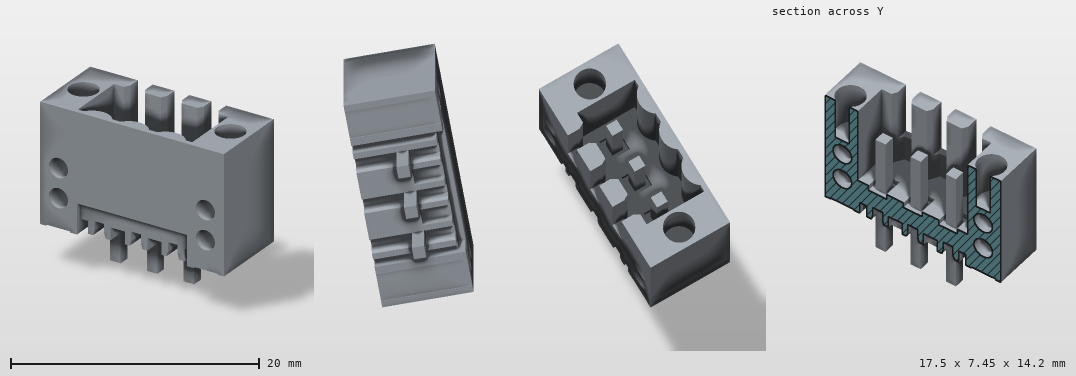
import cadquery as cq


pin_count = 3
pin_pitch = 3.5
pin_size = 1.0
pin_tail = 3.25
pin_top_below_rim = 2.6

housing_length = 17.5
housing_width = 7.45
housing_height = 11.0
front_to_pins = 3.5
front_y = -front_to_pins
back_y = front_y + housing_width

cavity_length = 10.9
cavity_depth = 7.5
front_wall = 0.45
back_wall = 1.6
cavity_front_y = front_y + front_wall
cavity_back_y = back_y - back_wall
floor_z = housing_height - cavity_depth

rib_width = 2.7
rib_rise = 0.7

groove_mouth = 2.0
groove_root = 0.8
groove_depth = 1.0
slot_width = 1.4
slot_depth = 5.0

pin_recess_size = 1.8
pin_recess_depth = 0.5

end_block_length = 3.5
flange_hole_diameter = 2.6
flange_hole_depth = 4.0
cross_hole_diameter = 1.8
cross_hole_heights = (2.8, 5.5)

relief_width = 2.3
relief_inset = 0.55
relief_depth = 0.1

step_length = housing_length - 2 * end_block_length
step_height = 2.8
step_depth = 0.6
step_y = front_y + step_depth

gap_width = 0.65
foot_height = 1.15
foot_pocket_width = 1.35
foot_pocket_depth = front_to_pins - pin_size / 2 - step_depth
channel_width = 0.93
channel_height = 1.3
channel_mouth = 1.2
channel_flare_height = 0.45

pin_xs = [pin_pitch * (i - (pin_count - 1) / 2) for i in range(pin_count)]
between_pin_xs = [(left + right) / 2 for left, right in zip(pin_xs, pin_xs[1:])]
end_block_x = (housing_length - end_block_length) / 2
end_block_xs = (-end_block_x, end_block_x)
relief_x = (housing_length - relief_width) / 2 - relief_inset
gap_x = (step_length - gap_width) / 2


def box(x_center, length, y_min, y_max, z_min, z_max):
    """Block centred on x_center in X, between the given limits in Y and Z."""
    block = cq.Workplane("XY").box(length, y_max - y_min, z_max - z_min, centered=(True, False, False))
    return block.translate((x_center, y_min, z_min))


def coding_rib(x):
    """Rounded rib standing on the front wall over the full cavity depth."""
    half = rib_width / 2
    return (
        cq.Workplane("XY", origin=(x, cavity_front_y, floor_z))
        .moveTo(-half, 0)
        .threePointArc((0, rib_rise), (half, 0))
        .close()
        .extrude(cavity_depth)
    )


def back_groove(x):
    """Tapered groove in the back wall, from the cavity floor to the rim."""
    return (
        cq.Workplane("XY", origin=(x, cavity_back_y, floor_z))
        .polyline([
            (-groove_mouth / 2, 0),
            (groove_mouth / 2, 0),
            (groove_root / 2, groove_depth),
            (-groove_root / 2, groove_depth),
        ])
        .close()
        .extrude(cavity_depth)
    )


def back_slot(x):
    """Slot through the back wall, open at the rim."""
    return box(x, slot_width, cavity_back_y, back_y, housing_height - slot_depth, housing_height)


def pin_recess(x):
    """Square recess in the cavity floor, centred on a pin."""
    half = pin_recess_size / 2
    return box(x, pin_recess_size, -half, half, floor_z - pin_recess_depth, floor_z)


def pin_channel(x):
    """Channel across the underside at a pin, flared at its mouth."""
    half = channel_width / 2
    half_mouth = channel_mouth / 2
    return (
        cq.Workplane("XZ", origin=(x, back_y, 0))
        .polyline([
            (-half_mouth, 0),
            (-half, channel_flare_height),
            (-half, channel_height),
            (half, channel_height),
            (half, channel_flare_height),
            (half_mouth, 0),
        ])
        .close()
        .extrude(housing_width)
    )


def flange_hole(x):
    """Blind screw hole in the top of an end block."""
    return (
        cq.Workplane("XY", origin=(x, front_y + housing_width / 2, housing_height - flange_hole_depth))
        .circle(flange_hole_diameter / 2)
        .extrude(flange_hole_depth)
    )


def cross_hole(x, z):
    """Hole through an end block from front to back."""
    return (
        cq.Workplane("XZ", origin=(x, back_y, z))
        .circle(cross_hole_diameter / 2)
        .extrude(housing_width)
    )


def make_pin(x):
    """Square contact pin, from its tail up into the cavity."""
    half = pin_size / 2
    return box(x, pin_size, -half, half, -pin_tail, housing_height - pin_top_below_rim)


def make_housing():
    """Housing with its cavity, underside cut-outs, end-block holes and a hole for every pin."""
    body = box(0, housing_length, front_y, back_y, 0, housing_height)
    cavity = box(0, cavity_length, cavity_front_y, cavity_back_y, floor_z, housing_height)
    for x in pin_xs:
        cavity = cavity.cut(coding_rib(x))
    body = body.cut(cavity)
    body = body.cut(box(0, step_length, front_y, step_y, 0, step_height))

    for x in pin_xs:
        body = body.cut(back_groove(x)).cut(back_slot(x))
        body = body.cut(pin_recess(x)).cut(pin_channel(x)).cut(make_pin(x))

    for x in between_pin_xs:
        body = body.cut(box(x, foot_pocket_width, step_y, step_y + foot_pocket_depth, 0, foot_height))

    for x in (-gap_x, gap_x):
        body = body.cut(box(x, gap_width, front_y, back_y, 0, foot_height))

    for x in (-relief_x, relief_x):
        body = body.cut(box(x, relief_width, front_y, back_y, 0, relief_depth))

    for x in end_block_xs:
        body = body.cut(flange_hole(x))
        for z in cross_hole_heights:
            body = body.cut(cross_hole(x, z))
    return body.solids()


housing = make_housing()
pins = [make_pin(x) for x in pin_xs]

result = cq.Compound.makeCompound([housing.val(), *[pin.val() for pin in pins]])